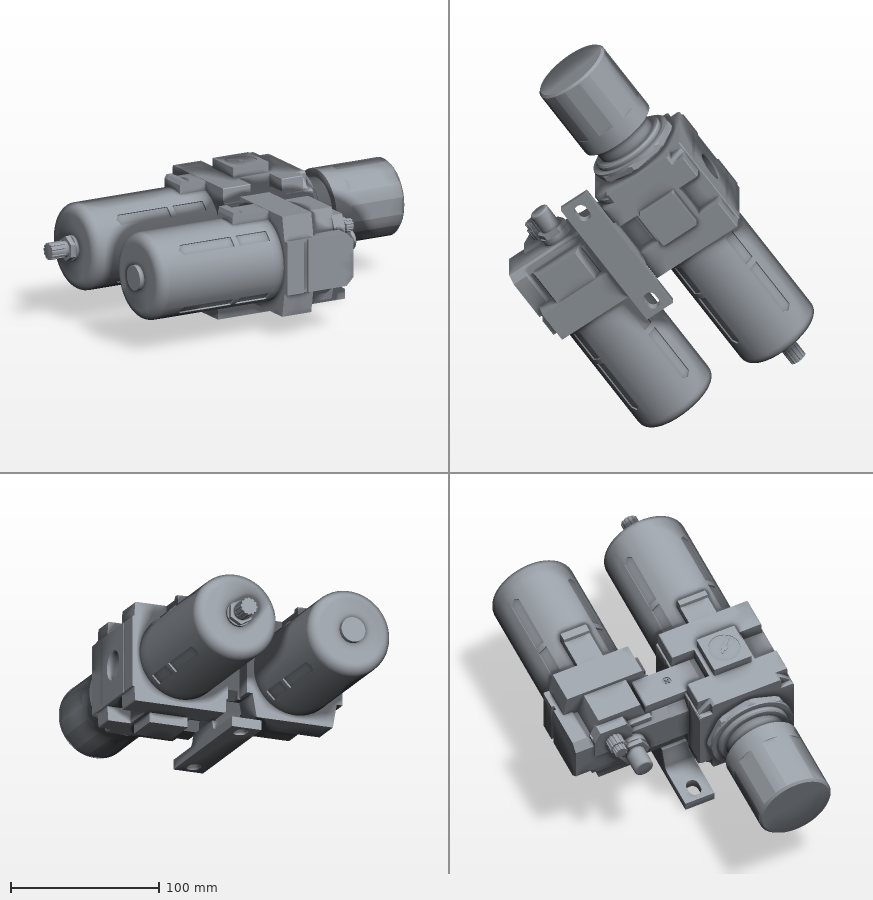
import cadquery as cq
import math


axis_spacing = 84.0
body_bottom_y = -33.5
body_half_z = 35.0
overlap = 1.3

bowl_dia = 60.2
bowl_round = 6.9
window_width = 8.0
window_floor = 28.8
short_window_top_y = -40.7
short_window_bottom_y = -64.5
long_window_top_y = -68.5
long_window_point = 2.6
bowl_boss_dia = 17.5
latch_root_z = 23.8
latch_z = 34.8
latch_ridge_z = 37.2
latch_ridge_slope = 0.5

regulator_top_y = 36.0
shoulder_root_half_x = 33.8
shoulder_top_half_x = 33.3
bulge_half_x = 35.0
bulge_half_z = 25.0
bulge_chamfer = 0.5
shoulder_chamfer = 0.5
recess_floor_z = bulge_half_z
recess_inner_x = 17.0
recess_top_y = 12.5
recess_bottom_y = -12.0
corner_bottom_y = 29.0
corner_lip_y = 32.5
corner_radius = 42.5
corner_flat = 25.5
side_groove_ys = (19.8, -19.0)
side_groove_width = 3.5
side_groove_depth = 0.3
port_dia = 19.0
port_mouth_dia = 20.5
port_depth = 11.0

knob_top_y = 113.3
knob_bottom_y = 59.5
knob_dia = 53.5
knob_top_chamfer = 1.5
knob_flat_count = 8
knob_flat_distance = 26.1
knob_flat_width = 12.1
knob_flat_top_y = 111.5
knob_flat_bottom_y = 71.8
neck_dia = 42.2
collar_dia = 52.0
collar_top_y = 48.0
collar_chamfer = 1.0
nut_corner_dia = 62.8
nut_top_y = 43.3
nut_bottom_y = 38.5
nut_chamfer = 1.0
washer_dia = 60.2
washer_top_y = 44.5

gauge_half = 14.0
gauge_z = 42.0
gauge_corner_chamfer = 0.5
dial_dia = 22.0
dial_depth = 0.5
hub_dia = 4.2
needle_length = 10.0
needle_width = 0.8
needle_tail_length = 4.5
needle_tail_width = 1.3
needle_angle = 225

regulator_bowl_bottom_y = -131.5
regulator_window_bottom_y = -109.8
drain_collar_y = -133.5
drain_hex_y = -137.3
drain_neck_y = -140.0
drain_bottom_y = -150.7
drain_neck_dia = 11.0
drain_knob_dia = 12.0
knurl_count = 12
knurl_dia = 1.3

lub_bowl_bottom_y = -130.2
lub_window_bottom_y = -110.5
lub_boss_bottom_y = -133.5
front_block_top_y = -10.8
front_block_top_half_x = 28.0
front_block_root_half_x = 31.0
wing_half_x = 35.0
wing_half_z = 18.5
wing_top_y = 18.0
wing_chamfer = 5.3
wing_groove_y = -19.0
wing_groove_width = 3.5
wing_groove_depth = 1.8
seat_lip_half_x = 24.5
seat_half_x = 22.5
seat_floor_z = 16.5
head_top_y = 12.5
head_half_z = 32.2
head_top_half_x = 15.5
head_root_half_x = 20.3
back_step_half_x = 22.2
back_step_half_z = 19.3
back_step_y = 16.0
filler_x = 7.7
filler_z = 15.0
filler_plate_y = 19.5
filler_plate_half_z = 12.0
filler_plate_shoulder_z = 18.5
filler_plate_top_half_x = 9.8
filler_plate_root_half_x = 14.0
filler_skirt_dia = 12.0
filler_skirt_y = 27.2
filler_cap_dia = 9.0
filler_cap_y = 32.0
sight_x = -5.3
sight_base_dia = 21.5
sight_base_y = 22.7
sight_hex_dia = 22.0
sight_hex_y = 26.1
sight_dome_dia = 13.7
sight_dome_y = 40.7
sight_dome_round = 1.3

clamp_left_x = 20.3
clamp_right_x = 64.2
clamp_half_z = 27.0
clamp_top_y = 11.5
clamp_end_chamfer = 0.8
seal_half_y = 18.0
seal_half_z = 18.5
seal_chamfer = 5.8
screw_dia = 6.0
screw_y = -1.5
screw_depth = 1.0
cross_length = 4.2
cross_width = 1.0
foot_left_x = 31.2
foot_right_x = 52.8
foot_top_y = 50.7
foot_bottom_y = -49.0
foot_bottom_z = -49.5
foot_top_z = -42.8
pedestal_blend_y = 3.5
pedestal_blend_z = 2.6
pedestal_root_half_y = 21.0
pedestal_top_half_y = 13.2
pedestal_y = 0.8
slot_width = 8.7
slot_length = 12.7
slot_ys = (40.7, -39.3)

gap_left_x = bulge_half_x
gap_right_x = axis_spacing - wing_half_x


def rod(x, z, dia, y_low, y_high):
    """Cylinder along Y."""
    return cq.Workplane("XZ", origin=(x, y_high, z)).circle(dia / 2).extrude(y_high - y_low)


def nut(x, z, sides, corner_dia, y_low, y_high, turn=0):
    """Regular prism along Y; with no turn one corner points along +X."""
    prism = cq.Workplane("XZ", origin=(x, y_high, z)).polygon(sides, corner_dia).extrude(y_high - y_low)
    return prism.rotate((x, 0, z), (x, 1, z), turn)


def box(x_low, x_high, y_low, y_high, z_low, z_high):
    size = (x_high - x_low, y_high - y_low, z_high - z_low)
    return cq.Workplane().box(*size, centered=False).translate((x_low, y_low, z_low))


def outline_prism(points, y_low, y_high):
    """Outline in X and Z, extruded along Y."""
    return cq.Workplane("XZ", origin=(0, y_high, 0)).polyline(points).close().extrude(y_high - y_low)


def mirrored(quarter):
    """Complete a quarter outline, listed from the +X side to the +Z side, over both axes."""
    upper = quarter + [(-x, z) for x, z in reversed(quarter)]
    return upper + [(-x, -z) for x, z in upper]


def knurled_rod(x, z, dia, y_low, y_high):
    """Cylinder along Y with round grooves down its side."""
    knob = rod(x, z, dia, y_low, y_high)
    for i in range(knurl_count):
        angle = 2 * math.pi * (i + 0.5) / knurl_count
        groove_x = x + dia / 2 * math.cos(angle)
        groove_z = z + dia / 2 * math.sin(angle)
        knob = knob.cut(rod(groove_x, groove_z, knurl_dia, y_low, y_high))
    return knob


def bowl(bottom_y, long_window_bottom_y):
    """Round-bottomed bowl on the Y axis with four pairs of sunken windows."""
    shape = rod(0, 0, bowl_dia, bottom_y, body_bottom_y + overlap).faces("<Y").edges().fillet(bowl_round)
    half = window_width / 2
    shoulder_y = long_window_bottom_y + long_window_point
    windows = (
        cq.Workplane("XY", origin=(0, 0, window_floor))
        .moveTo(-half, short_window_bottom_y).lineTo(half, short_window_bottom_y)
        .lineTo(half, short_window_top_y).lineTo(-half, short_window_top_y).close()
        .moveTo(-half, shoulder_y).lineTo(0, long_window_bottom_y).lineTo(half, shoulder_y)
        .lineTo(half, long_window_top_y).lineTo(-half, long_window_top_y).close()
        .extrude(bowl_dia / 2)
    )
    for angle in (45, 135, 225, 315):
        shape = shape.cut(windows.rotate((0, 0, 0), (0, 1, 0), angle))
    return shape


def latch(half_x, ridge_y, nose_y, end_y, nose_z):
    """Flat latch over the bowl wall with a raised ridge that drops to a nose at its free end."""
    root_y = body_bottom_y + overlap
    profile = [
        (root_y, latch_root_z),
        (root_y, latch_z),
        (ridge_y, latch_z),
        (ridge_y - latch_ridge_slope, latch_ridge_z),
        (nose_y, latch_ridge_z),
        (end_y, nose_z),
        (end_y, latch_root_z),
    ]
    return cq.Workplane("YZ", origin=(-half_x, 0, 0)).polyline(profile).close().extrude(2 * half_x)


def regulator_body():
    quarter = [
        (bulge_half_x, bulge_half_z - bulge_chamfer),
        (bulge_half_x - bulge_chamfer, bulge_half_z),
        (shoulder_root_half_x, bulge_half_z),
        (shoulder_top_half_x, body_half_z - shoulder_chamfer),
        (shoulder_top_half_x - shoulder_chamfer, body_half_z),
    ]
    body = outline_prism(mirrored(quarter), body_bottom_y, regulator_top_y)

    reach = 2 * body_half_z
    outside = box(-reach, reach, corner_bottom_y, reach, -reach, reach)
    outside = outside.cut(rod(0, 0, 2 * corner_radius, corner_bottom_y, reach))
    body = body.cut(outside)
    for side_x in (-1, 1):
        for side_z in (-1, 1):
            centre_x = side_x * (corner_flat + reach / 2)
            centre_z = side_z * (corner_flat + reach / 2)
            step = cq.Workplane().box(reach, reach, reach)
            body = body.cut(step.translate((centre_x, corner_lip_y + reach / 2, centre_z)))

    for side_x in (-1, 1):
        centre_x = side_x * (recess_inner_x + reach / 2)
        for side_z in (-1, 1):
            recess = cq.Workplane().box(reach, recess_top_y - recess_bottom_y, reach)
            centre = (centre_x, (recess_top_y + recess_bottom_y) / 2, side_z * (recess_floor_z + reach / 2))
            body = body.cut(recess.translate(centre))
        for groove_y in side_groove_ys:
            groove = cq.Workplane().box(2 * side_groove_depth, side_groove_width, reach)
            body = body.cut(groove.translate((side_x * bulge_half_x, groove_y, 0)))

    mouth = (port_mouth_dia - port_dia) / 2
    port = cq.Workplane("YZ", origin=(-bulge_half_x, 0, 0)).circle(port_dia / 2).extrude(port_depth)
    cone = cq.Solid.makeCone(
        port_mouth_dia / 2, port_dia / 2, mouth, cq.Vector(-bulge_half_x, 0, 0), cq.Vector(1, 0, 0)
    )
    return body.cut(port).cut(cq.Workplane(cone))


def bonnet():
    collar = rod(0, 0, collar_dia, regulator_top_y - overlap, collar_top_y)
    collar = collar.faces(">Y").chamfer(collar_chamfer)
    lock_nut = nut(0, 0, 8, nut_corner_dia, nut_bottom_y, nut_top_y)
    rounding = rod(0, 0, nut_corner_dia, nut_bottom_y, nut_top_y).edges().chamfer(nut_chamfer)
    washer = rod(0, 0, washer_dia, nut_top_y - overlap, washer_top_y)
    neck = rod(0, 0, neck_dia, regulator_top_y, knob_bottom_y + overlap)
    return collar.union(lock_nut.intersect(rounding)).union(washer).union(neck)


def pressure_knob():
    knob = rod(0, 0, knob_dia, knob_bottom_y, knob_top_y).faces(">Y").chamfer(knob_top_chamfer)
    half = knob_flat_width / 2
    flat = box(-half, half, knob_flat_bottom_y, knob_flat_top_y, knob_flat_distance, knob_dia)
    for i in range(knob_flat_count):
        knob = knob.cut(flat.rotate((0, 0, 0), (0, 1, 0), i * 360 / knob_flat_count))
    return knob


def gauge():
    """Square gauge on the top, and the plain square plug opposite it."""
    block = box(-gauge_half, gauge_half, -gauge_half, gauge_half, -gauge_z, gauge_z)
    block = block.edges("|Z").chamfer(gauge_corner_chamfer)
    dial = cq.Workplane("XY", origin=(0, 0, gauge_z - dial_depth))
    recess = dial.circle(dial_dia / 2).extrude(2 * dial_depth)
    hub = dial.circle(hub_dia / 2).extrude(dial_depth)
    needle = dial.center(needle_length / 2, 0).rect(needle_length, needle_width).extrude(dial_depth)
    tail = dial.rect(2 * needle_tail_length, needle_tail_width).extrude(dial_depth)
    pointer = hub.union(needle).union(tail).rotate((0, 0, 0), (0, 0, 1), needle_angle)
    return block.cut(recess.cut(pointer))


def drain_cock():
    collar = rod(0, 0, bowl_boss_dia, drain_collar_y, regulator_bowl_bottom_y + overlap)
    hexagon = nut(0, 0, 6, bowl_boss_dia, drain_hex_y, drain_collar_y, 90)
    neck = rod(0, 0, drain_neck_dia, drain_neck_y, drain_hex_y)
    knob = knurled_rod(0, 0, drain_knob_dia, drain_bottom_y, drain_neck_y)
    return collar.union(hexagon).union(neck).union(knob)


def regulator_latch():
    return latch(half_x=10.3, ridge_y=-47.5, nose_y=-52.0, end_y=-53.5, nose_z=34.5)


def make_regulator():
    return (
        regulator_body()
        .union(bonnet())
        .union(pressure_knob())
        .union(gauge())
        .union(bowl(regulator_bowl_bottom_y, regulator_window_bottom_y))
        .union(regulator_latch())
        .union(drain_cock())
    )


def lubricator_body():
    """Body on its own axis at X = 0."""
    block_outline = mirrored([
        (front_block_root_half_x, wing_half_z),
        (front_block_top_half_x, body_half_z),
    ])
    body = outline_prism(block_outline, body_bottom_y, front_block_top_y)

    wings = box(-wing_half_x, wing_half_x, body_bottom_y, wing_top_y, -wing_half_z, wing_half_z)
    wings = wings.edges("|X and >Y").chamfer(wing_chamfer)
    for side_x in (-1, 1):
        groove = cq.Workplane().box(2 * wing_groove_depth, wing_groove_width, 2 * wing_half_z)
        wings = wings.cut(groove.translate((side_x * wing_half_x, wing_groove_y, 0)))
        for side_z in (-1, 1):
            seat = [
                (0, side_z * seat_floor_z), (side_x * seat_half_x, side_z * seat_floor_z),
                (side_x * seat_lip_half_x, side_z * wing_half_z), (0, side_z * wing_half_z),
            ]
            wings = wings.cut(outline_prism(seat, front_block_top_y, back_step_y))
    head_outline = mirrored([
        (head_root_half_x, seat_floor_z),
        (head_top_half_x, head_half_z),
    ])
    head = outline_prism(head_outline, front_block_top_y - overlap, head_top_y)
    step = box(
        -back_step_half_x, back_step_half_x, head_top_y, back_step_y, -back_step_half_z, back_step_half_z
    )
    return body.union(wings).union(head).union(step)


def filler():
    plate_low = filler_z - filler_plate_half_z
    plate_high = filler_z + filler_plate_half_z
    root_left_x = filler_x - filler_plate_root_half_x
    root_right_x = filler_x + filler_plate_root_half_x
    plate_outline = [
        (root_left_x, plate_low),
        (root_right_x, plate_low),
        (root_right_x, filler_plate_shoulder_z),
        (filler_x + filler_plate_top_half_x, plate_high),
        (filler_x - filler_plate_top_half_x, plate_high),
        (root_left_x, filler_plate_shoulder_z),
    ]
    plate = outline_prism(plate_outline, head_top_y - overlap, filler_plate_y)
    skirt = knurled_rod(filler_x, filler_z, filler_skirt_dia, filler_plate_y, filler_skirt_y)
    cap = knurled_rod(filler_x, filler_z, filler_cap_dia, filler_skirt_y, filler_cap_y)
    return plate.union(skirt).union(cap)


def sight_dome():
    base = rod(sight_x, 0, sight_base_dia, wing_top_y - overlap, sight_base_y)
    hexagon = nut(sight_x, 0, 6, sight_hex_dia, sight_base_y, sight_hex_y)
    dome = rod(sight_x, 0, sight_dome_dia, sight_hex_y, sight_dome_y)
    dome = dome.faces(">Y").edges().fillet(sight_dome_round)
    return base.union(hexagon).union(dome)


def lubricator_latch():
    return latch(half_x=9.5, ridge_y=-54.6, nose_y=-60.7, end_y=-61.5, nose_z=33.8)


def make_lubricator():
    shape = (
        lubricator_body()
        .union(filler())
        .union(sight_dome())
        .union(bowl(lub_bowl_bottom_y, lub_window_bottom_y))
        .union(lubricator_latch())
        .union(rod(0, 0, bowl_boss_dia, lub_boss_bottom_y, lub_bowl_bottom_y + overlap))
    )
    return shape.translate((axis_spacing, 0, 0))


def spacer():
    seal = box(gap_left_x, gap_right_x, -seal_half_y, seal_half_y, -seal_half_z, seal_half_z)
    seal = seal.edges("|X").chamfer(seal_chamfer)
    block = box(gap_left_x, gap_right_x, front_block_top_y, clamp_top_y, -clamp_half_z, clamp_half_z)
    block = block.union(seal)
    for side_z in (-1, 1):
        over_regulator = sorted((side_z * recess_floor_z, side_z * clamp_half_z))
        over_lubricator = sorted((side_z * wing_half_z, side_z * clamp_half_z))
        block = block.union(box(clamp_left_x, gap_left_x, front_block_top_y, clamp_top_y, *over_regulator))
        block = block.union(box(gap_right_x, clamp_right_x, front_block_top_y, clamp_top_y, *over_lubricator))
    block = block.faces("<X or >X").edges(">Z or <Z").chamfer(clamp_end_chamfer)

    screw_x = (gap_left_x + gap_right_x) / 2
    face = cq.Workplane("XY", origin=(screw_x, screw_y, clamp_half_z - screw_depth))
    sink = face.circle(screw_dia / 2).extrude(screw_depth)
    cross = face.rect(cross_length, cross_width).extrude(-screw_depth)
    cross = cross.union(face.rect(cross_width, cross_length).extrude(-screw_depth))
    cross = cross.rotate((screw_x, screw_y, 0), (screw_x, screw_y, 1), 45)
    return block.cut(sink).cut(cross)


def foot():
    plate = box(foot_left_x, foot_right_x, foot_bottom_y, foot_top_y, foot_bottom_z, foot_top_z)
    for slot_y in slot_ys:
        centre_x = (foot_left_x + foot_right_x) / 2
        base = cq.Workplane("XY", origin=(centre_x, slot_y, foot_bottom_z))
        slot = base.slot2D(slot_length, slot_width, 90).extrude(foot_top_z - foot_bottom_z)
        plate = plate.cut(slot)

    pedestal = (
        cq.Workplane("YZ", origin=(foot_left_x, pedestal_y, 0))
        .moveTo(0, -clamp_half_z)
        .lineTo(pedestal_top_half_y, -clamp_half_z)
        .lineTo(pedestal_root_half_y - pedestal_blend_y, foot_top_z + pedestal_blend_z)
        .tangentArcPoint((pedestal_root_half_y, foot_top_z), relative=False)
        .lineTo(0, foot_top_z)
        .mirrorY()
        .extrude(foot_right_x - foot_left_x)
    )
    beside_regulator = box(
        foot_left_x, shoulder_root_half_x, foot_bottom_y, foot_top_y, -body_half_z, -clamp_half_z
    )
    return plate.union(pedestal.cut(beside_regulator))


regulator = make_regulator()
lubricator = make_lubricator()
bracket = spacer().union(foot())

result = cq.Compound.makeCompound([regulator.val(), lubricator.val(), bracket.val()])